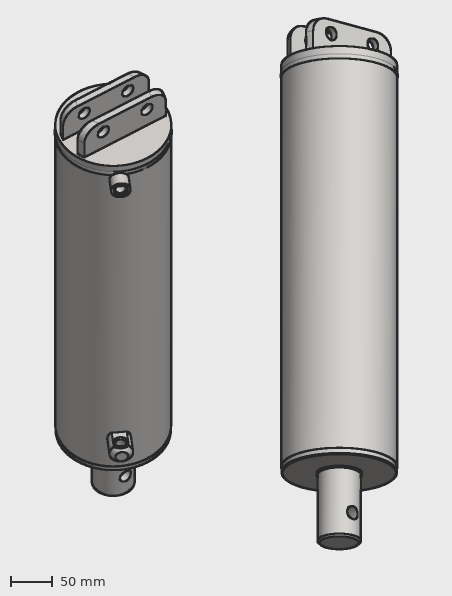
import cadquery as cq
import math

OVERALL_HEIGHT = 648.0

BARREL_RADIUS = 69.5
BARREL_TOP_Z = 604.0
WELD_TOP_Z = 594.0
WELD_BOTTOM_Z = 588.5
WELD_BULGE = 0.5
GLAND_TOP_Z = 96.0
GLAND_BOTTOM_Z = 88.0
GLAND_STEP = 0.3
GLAND_RADIUS = BARREL_RADIUS - GLAND_STEP
GLAND_CHAMFER = 1.0
WIPER_RADIUS = 27.0
WIPER_HEIGHT = 2.0

PLATE_HEIGHT = OVERALL_HEIGHT - BARREL_TOP_Z
PLATE_THICKNESS = 10.0
PLATE_SPACING = 39.0
PLATE_END_RADIUS = 65.0
PLATE_CORNER_RADIUS = 20.0
PLATE_HOLE_SPACING = 64.0
PLATE_HOLE_Z = 630.5

PIN_HOLE_DIAMETER = 16.0

PORT_ANGLE = -30.0
PORT_BORE_RADIUS = 6.5
PORT_COUNTERSINK_RADIUS = 8.5
PORT_BORE_DEPTH = 13.0
UPPER_PORT_Z = 580.5
UPPER_PORT_RADIUS = 11.5
UPPER_PORT_REACH = 87.5
LOWER_PORT_Z = 142.5
LOWER_PORT_RADIUS = 14.0
LOWER_PORT_REACH = 100.0
LOWER_PORT_CHAMFER = 6.5
LOWER_PORT_FLAT_HEIGHT = 11.0
LOWER_PORT_BORE_REACH = 86.0

ROD_RADIUS = 26.0
ROD_TIP_CHAMFER = 2.5
ROD_HOLE_Z = 31.0


def port_plane(reach, z):
    """Plane facing outward along the port direction, at a distance from the barrel axis."""
    angle = math.radians(PORT_ANGLE)
    outward = cq.Vector(math.cos(angle), math.sin(angle), 0)
    sideways = cq.Vector(-math.sin(angle), math.cos(angle), 0)
    return cq.Plane(origin=outward * reach + cq.Vector(0, 0, z), xDir=sideways, normal=outward)


def make_barrel():
    """Turned barrel: chamfered gland at the bottom and a rounded weld bead under the cap."""
    weld_peak = (BARREL_RADIUS + WELD_BULGE, (WELD_BOTTOM_Z + WELD_TOP_Z) / 2)
    return (
        cq.Workplane("XZ")
        .moveTo(0, GLAND_BOTTOM_Z)
        .lineTo(GLAND_RADIUS - GLAND_CHAMFER, GLAND_BOTTOM_Z)
        .lineTo(GLAND_RADIUS, GLAND_BOTTOM_Z + GLAND_CHAMFER)
        .lineTo(GLAND_RADIUS, GLAND_TOP_Z)
        .lineTo(BARREL_RADIUS, GLAND_TOP_Z)
        .lineTo(BARREL_RADIUS, WELD_BOTTOM_Z)
        .threePointArc(weld_peak, (BARREL_RADIUS, WELD_TOP_Z))
        .lineTo(BARREL_RADIUS, BARREL_TOP_Z)
        .lineTo(0, BARREL_TOP_Z)
        .close()
        .revolve(360, (0, 0), (0, 1))
    )


def make_wiper():
    """Low lip of the housing around the end of the rod."""
    return cq.Workplane("XY", origin=(0, 0, GLAND_BOTTOM_Z)).circle(WIPER_RADIUS).extrude(-WIPER_HEIGHT)


def make_clevis_plate(x):
    """Upright plate with ends curved around the barrel axis, rounded top corners and two pin holes."""
    slab = (
        cq.Workplane("XY", origin=(x, 0, BARREL_TOP_Z))
        .rect(PLATE_THICKNESS, 2 * PLATE_END_RADIUS)
        .extrude(PLATE_HEIGHT)
    )
    end_curve = cq.Workplane("XY", origin=(0, 0, BARREL_TOP_Z)).circle(PLATE_END_RADIUS).extrude(PLATE_HEIGHT)
    plate = slab.intersect(end_curve)
    plate = plate.faces(">Z").edges("%CIRCLE").fillet(PLATE_CORNER_RADIUS)
    pin_holes = (
        cq.Workplane("YZ", origin=(x, 0, PLATE_HOLE_Z))
        .pushPoints([(-PLATE_HOLE_SPACING / 2, 0), (PLATE_HOLE_SPACING / 2, 0)])
        .circle(PIN_HOLE_DIAMETER / 2)
        .extrude(PLATE_THICKNESS, both=True)
    )
    return plate.cut(pin_holes)


def make_port_bore(mouth):
    """Countersunk blind bore entering from the mouth plane, against its normal."""
    countersink_depth = PORT_COUNTERSINK_RADIUS - PORT_BORE_RADIUS
    axis = mouth.zDir * -1
    countersink = cq.Solid.makeCone(
        PORT_COUNTERSINK_RADIUS, PORT_BORE_RADIUS, countersink_depth, mouth.origin, axis
    )
    bore = cq.Solid.makeCylinder(PORT_BORE_RADIUS, PORT_BORE_DEPTH, mouth.origin, axis)
    return cq.Workplane(bore.fuse(countersink))


def make_upper_port():
    return cq.Workplane(port_plane(0, UPPER_PORT_Z)).circle(UPPER_PORT_RADIUS).extrude(UPPER_PORT_REACH)


def make_lower_port():
    """Chamfered stub with a flat cut along its top for the upward bore."""
    base = port_plane(0, LOWER_PORT_Z)
    stub = cq.Workplane(base).circle(LOWER_PORT_RADIUS).extrude(LOWER_PORT_REACH)
    stub = stub.faces(cq.DirectionMinMaxSelector(base.zDir)).chamfer(LOWER_PORT_CHAMFER)
    above_flat = (
        cq.Workplane("XY", origin=(0, 0, LOWER_PORT_Z + LOWER_PORT_FLAT_HEIGHT))
        .circle(LOWER_PORT_REACH + LOWER_PORT_RADIUS)
        .extrude(LOWER_PORT_RADIUS)
    )
    return stub.cut(above_flat)


def make_housing():
    housing = make_barrel().union(make_wiper())
    for x in (-PLATE_SPACING / 2, PLATE_SPACING / 2):
        housing = housing.union(make_clevis_plate(x))
    housing = housing.union(make_upper_port()).union(make_lower_port())

    upper_mouth = port_plane(UPPER_PORT_REACH, UPPER_PORT_Z)
    flat_center = port_plane(LOWER_PORT_BORE_REACH, LOWER_PORT_Z + LOWER_PORT_FLAT_HEIGHT).origin
    lower_mouth = cq.Plane(origin=flat_center, normal=(0, 0, 1))
    for mouth in (upper_mouth, lower_mouth):
        housing = housing.cut(make_port_bore(mouth))
    return housing


def make_rod():
    """Rod standing below the housing, chamfered at its tip, with a cross pin hole."""
    rod_top_z = GLAND_BOTTOM_Z - WIPER_HEIGHT
    shaft = cq.Workplane("XY").circle(ROD_RADIUS).extrude(rod_top_z)
    shaft = shaft.faces("<Z").chamfer(ROD_TIP_CHAMFER)
    pin_hole = (
        cq.Workplane("YZ", origin=(0, 0, ROD_HOLE_Z))
        .circle(PIN_HOLE_DIAMETER / 2)
        .extrude(ROD_RADIUS, both=True)
    )
    return shaft.cut(pin_hole)


housing = make_housing()
rod = make_rod()
result = cq.Compound.makeCompound([housing.val(), rod.val()])